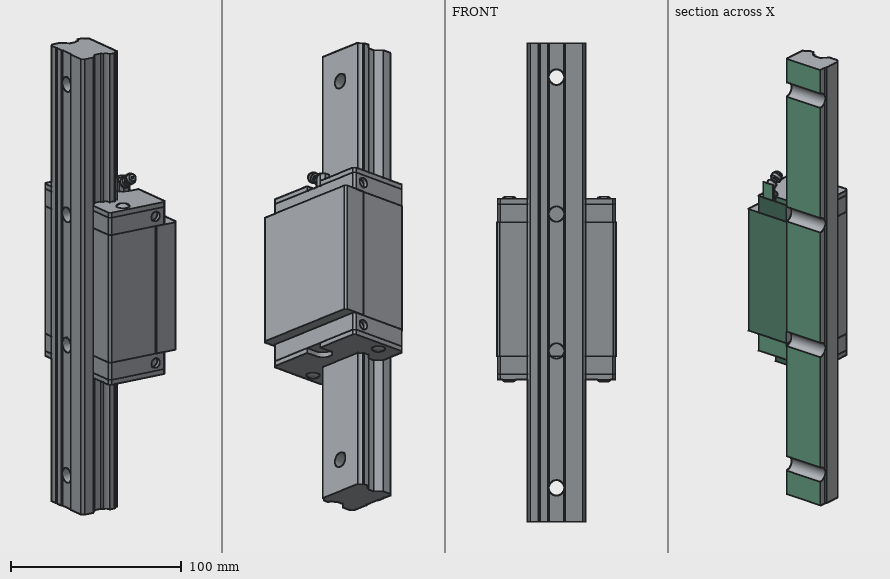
import cadquery as cq
import math


RAIL_LENGTH = 280.0
RAIL_HALF_WIDTH = 17.0
RAIL_HEIGHT = 26.0
RAIL_CHAMFER = 1.7
RAIL_FOOT_HEIGHT = 7.5
NECK_HALF_WIDTH = 13.2
NECK_BOTTOM = 11.5
NECK_TOP = 15.7
HEAD_BOTTOM = 19.3
HEAD_TOP = 22.7
LOWER_GROOVE_X = 14.3
LOWER_GROOVE_Y = 16.5
UPPER_GROOVE_X = 16.5
UPPER_GROOVE_Y = 23.5
CROWN_HALF_WIDTH = 14.8
RACE_RADIUS = 2.5

RELIEF_WIDTH = 10.0
RELIEF_FLOOR_WIDTH = 8.5
MARK_X = -10.0
MARK_WIDTH = 1.5
GROOVE_DEPTH = 0.5

HOLE_COUNT = 4
HOLE_PITCH = 80.0
HOLE_DIAMETER = 9.0

CARRIAGE_CENTRE_Z = -4.0
BLOCK_LENGTH = 78.5
BLOCK_WIDTH = 70.0
BLOCK_LOWER_WIDTH = 69.2
BLOCK_TOP = 55.0
STEP_TOP = 40.5
STEP_BOTTOM = 39.8
CARRIAGE_BOTTOM = 7.5
CARRIAGE_CHAMFER = 1.5

CAP_WIDTH = 69.0
CAP_TOP = 47.3
CAP_THICKNESS = 10.5
SEAL_THICKNESS = 3.0
PORT_DIAMETER = 6.0
PORT_OFFSET = 6.0
PORT_DEPTH = 2.8

SCREW_X = 27.7
SCREW_Y = 21.5
SCREW_DIAMETER = 7.8
SCREW_FLAT_DIAMETER = 2.5
SCREW_HEIGHT = 1.0

NIPPLE_Y = 40.0
NOTCH_RADIUS = 5.5
NIPPLE_FOOT_WIDTH = 7.3
NIPPLE_FOOT_CHAMFER = 2.0
NIPPLE_FOOT_HEIGHT = 10.0
SPOUT_ANGLE = 33.0
SPOUT_LENGTH = 9.8
SPOUT_BASE_RADIUS = 2.8
SPOUT_BASE_LENGTH = 2.8
SPOUT_WAIST_RADIUS = 2.0
SPOUT_WAIST_START = 3.5
SPOUT_WAIST_END = 5.0
SPOUT_HEAD_RADIUS = 3.0
SPOUT_HEAD_START = 6.0
SPOUT_HEAD_END = 8.0
SPOUT_TIP_RADIUS = 2.2
SPOUT_BORE_DEPTH = 2.8
SPOUT_BORE_DIAMETER = 1.0

CAP_START = BLOCK_LENGTH / 2
SEAL_START = CAP_START + CAP_THICKNESS
SEAL_END = SEAL_START + SEAL_THICKNESS


def groove_middle(start, end):
    """Middle of a ball groove's arc, which bulges to the left on the way from start to end."""
    across = end[0] - start[0]
    up = end[1] - start[1]
    chord = math.hypot(across, up)
    sag = RACE_RADIUS - math.sqrt(RACE_RADIUS**2 - (chord / 2) ** 2)
    return (
        (start[0] + end[0]) / 2 - sag * up / chord,
        (start[1] + end[1]) / 2 + sag * across / chord,
    )


def rail_blank():
    """Rail section without its bottom grooves, extruded symmetrically about Z = 0."""
    lower_inner = (LOWER_GROOVE_X, LOWER_GROOVE_Y)
    lower_outer = (RAIL_HALF_WIDTH, HEAD_BOTTOM)
    upper_outer = (UPPER_GROOVE_X, UPPER_GROOVE_Y)
    upper_inner = (CROWN_HALF_WIDTH, RAIL_HEIGHT)
    half = (
        cq.Workplane("XY")
        .moveTo(0, 0)
        .lineTo(RAIL_HALF_WIDTH - RAIL_CHAMFER, 0)
        .lineTo(RAIL_HALF_WIDTH, RAIL_CHAMFER)
        .lineTo(RAIL_HALF_WIDTH, RAIL_FOOT_HEIGHT)
        .lineTo(NECK_HALF_WIDTH, NECK_BOTTOM)
        .lineTo(NECK_HALF_WIDTH, NECK_TOP)
        .lineTo(*lower_inner)
        .threePointArc(groove_middle(lower_inner, lower_outer), lower_outer)
        .lineTo(RAIL_HALF_WIDTH, HEAD_TOP)
        .lineTo(*upper_outer)
        .threePointArc(groove_middle(upper_outer, upper_inner), upper_inner)
        .lineTo(0, RAIL_HEIGHT)
        .close()
        .extrude(RAIL_LENGTH / 2, both=True)
    )
    return half.union(half.mirror("YZ")).clean()


def make_rail():
    """Rail with a relief and a marking groove along its bottom and a row of mounting holes."""
    rail = rail_blank()
    relief = (
        cq.Workplane("XY")
        .moveTo(-RELIEF_WIDTH / 2, 0)
        .lineTo(-RELIEF_FLOOR_WIDTH / 2, GROOVE_DEPTH)
        .lineTo(RELIEF_FLOOR_WIDTH / 2, GROOVE_DEPTH)
        .lineTo(RELIEF_WIDTH / 2, 0)
        .close()
        .extrude(RAIL_LENGTH / 2, both=True)
    )
    mark = (
        cq.Workplane("XY")
        .moveTo(MARK_X - MARK_WIDTH / 2, 0)
        .lineTo(MARK_X, GROOVE_DEPTH)
        .lineTo(MARK_X + MARK_WIDTH / 2, 0)
        .close()
        .extrude(RAIL_LENGTH / 2, both=True)
    )
    rail = rail.cut(relief).cut(mark)
    for index in range(HOLE_COUNT):
        z = (index - (HOLE_COUNT - 1) / 2) * HOLE_PITCH
        hole = cq.Workplane("XZ", origin=(0, 0, z)).circle(HOLE_DIAMETER / 2).extrude(-RAIL_HEIGHT)
        rail = rail.cut(hole)
    return rail


def plate(width, bottom, top, start, thickness):
    """Plate across the rail with its four lengthwise edges chamfered."""
    return (
        cq.Workplane("XY", origin=(0, (bottom + top) / 2, start))
        .rect(width, top - bottom)
        .extrude(thickness)
        .edges("|Z")
        .chamfer(CARRIAGE_CHAMFER)
    )


def make_block(rail_space):
    """Carriage block, slightly wider above the step in its sides."""
    half = (
        cq.Workplane("XY", origin=(0, 0, -CAP_START))
        .moveTo(0, CARRIAGE_BOTTOM)
        .lineTo(BLOCK_LOWER_WIDTH / 2 - CARRIAGE_CHAMFER, CARRIAGE_BOTTOM)
        .lineTo(BLOCK_LOWER_WIDTH / 2, CARRIAGE_BOTTOM + CARRIAGE_CHAMFER)
        .lineTo(BLOCK_LOWER_WIDTH / 2, STEP_BOTTOM)
        .lineTo(BLOCK_WIDTH / 2, STEP_TOP)
        .lineTo(BLOCK_WIDTH / 2, BLOCK_TOP - CARRIAGE_CHAMFER)
        .lineTo(BLOCK_WIDTH / 2 - CARRIAGE_CHAMFER, BLOCK_TOP)
        .lineTo(0, BLOCK_TOP)
        .close()
        .extrude(BLOCK_LENGTH)
    )
    return half.union(half.mirror("YZ")).clean().cut(rail_space)


def make_cap(rail_space):
    """End cap at the block's upper end."""
    cap = plate(CAP_WIDTH, CARRIAGE_BOTTOM, CAP_TOP, CAP_START, CAP_THICKNESS)
    port_z = CAP_START + PORT_OFFSET
    for side in (-1, 1):
        port = (
            cq.Workplane("YZ", origin=(side * CAP_WIDTH / 2, NIPPLE_Y, port_z))
            .circle(PORT_DIAMETER / 2)
            .extrude(-side * PORT_DEPTH)
        )
        cap = cap.cut(port)
    return cap.cut(rail_space)


def screw_head(x):
    """Domed screw head with a small flat on top."""
    rim = SCREW_DIAMETER / 2
    flat = SCREW_FLAT_DIAMETER / 2
    bulge = math.sqrt(0.5)
    return (
        cq.Workplane("XZ")
        .lineTo(rim, 0)
        .threePointArc(
            (flat + (rim - flat) * bulge, SCREW_HEIGHT * bulge),
            (flat, SCREW_HEIGHT),
        )
        .lineTo(0, SCREW_HEIGHT)
        .close()
        .revolve(360, (0, 0), (0, 1))
        .translate((x, SCREW_Y, SEAL_END))
    )


def make_seal(rail_space):
    """End seal over the upper cap, with its screw heads and the notch around the nipple."""
    seal = plate(CAP_WIDTH, CARRIAGE_BOTTOM, CAP_TOP, SEAL_START, SEAL_THICKNESS)
    notch = (
        cq.Workplane("XY", origin=(0, NIPPLE_Y, SEAL_START))
        .moveTo(-NOTCH_RADIUS, 0)
        .threePointArc((0, -NOTCH_RADIUS), (NOTCH_RADIUS, 0))
        .lineTo(NOTCH_RADIUS, CAP_TOP - NIPPLE_Y)
        .lineTo(-NOTCH_RADIUS, CAP_TOP - NIPPLE_Y)
        .close()
        .extrude(SEAL_THICKNESS)
    )
    seal = seal.cut(notch).cut(rail_space)
    for side in (-1, 1):
        seal = seal.union(screw_head(side * SCREW_X))
    return seal


def make_nipple():
    """Square foot with chamfered corners and a slanted face that carries a spout pointing up toward +X."""
    foot_half = NIPPLE_FOOT_WIDTH / 2
    foot = (
        cq.Workplane("XY")
        .rect(NIPPLE_FOOT_WIDTH, NIPPLE_FOOT_WIDTH)
        .extrude(NIPPLE_FOOT_HEIGHT)
        .edges("|Z")
        .chamfer(NIPPLE_FOOT_CHAMFER)
    )
    slant_drop = foot_half / math.tan(math.radians(SPOUT_ANGLE))
    slant = (
        cq.Workplane("XZ")
        .moveTo(0, NIPPLE_FOOT_HEIGHT)
        .lineTo(foot_half, NIPPLE_FOOT_HEIGHT - slant_drop)
        .lineTo(foot_half, NIPPLE_FOOT_HEIGHT)
        .close()
        .extrude(foot_half, both=True)
    )
    spout = (
        cq.Workplane("XZ")
        .lineTo(SPOUT_BASE_RADIUS, 0)
        .lineTo(SPOUT_BASE_RADIUS, SPOUT_BASE_LENGTH)
        .lineTo(SPOUT_WAIST_RADIUS, SPOUT_WAIST_START)
        .lineTo(SPOUT_WAIST_RADIUS, SPOUT_WAIST_END)
        .lineTo(SPOUT_HEAD_RADIUS, SPOUT_HEAD_START)
        .lineTo(SPOUT_HEAD_RADIUS, SPOUT_HEAD_END)
        .lineTo(SPOUT_TIP_RADIUS, SPOUT_LENGTH)
        .lineTo(0, SPOUT_LENGTH)
        .close()
        .revolve(360, (0, 0), (0, 1))
    )
    bore = (
        cq.Workplane("XY", origin=(0, 0, SPOUT_LENGTH))
        .circle(SPOUT_BORE_DIAMETER / 2)
        .extrude(-SPOUT_BORE_DEPTH)
    )
    spout = (
        spout.cut(bore)
        .rotate((0, 0, 0), (0, 1, 0), 90 - SPOUT_ANGLE)
        .translate((foot_half / 2, 0, NIPPLE_FOOT_HEIGHT - slant_drop / 2))
    )
    return foot.cut(slant).union(spout).translate((0, NIPPLE_Y, SEAL_START))


on_rail = (0, 0, CARRIAGE_CENTRE_Z)
rail_space = rail_blank()
rail = make_rail()
block = make_block(rail_space).translate(on_rail)
upper_cap = make_cap(rail_space)
upper_seal = make_seal(rail_space)
caps = [cap.translate(on_rail) for cap in (upper_cap, upper_cap.mirror("XY"))]
seals = [seal.translate(on_rail) for seal in (upper_seal, upper_seal.mirror("XY"))]
nipple = make_nipple().translate(on_rail)

bodies = [rail, block, *caps, *seals, nipple]
result = cq.Compound.makeCompound([body.val() for body in bodies])